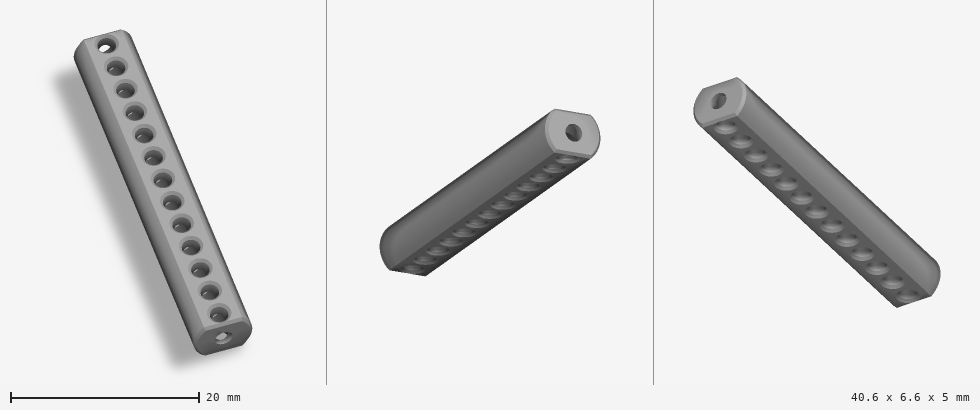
import cadquery as cq

bar_length = 40.6
rod_diameter = 6.6
flat_to_flat = 5.0
end_chamfer = 0.3

hole_diameter = 2.0
hole_count = 13
first_hole_margin = 1.55
hole_row_length = 37.5
hole_pitch = hole_row_length / (hole_count - 1)

countersink_diameter = 2.6
countersink_depth = (countersink_diameter - hole_diameter) / 2


def make_bar():
    """Round rod cut to two parallel flats, chamfered around both ends."""
    rod = cq.Workplane("YZ").circle(rod_diameter / 2).extrude(bar_length / 2, both=True)
    flats = cq.Workplane("XY").box(bar_length, rod_diameter, flat_to_flat)
    return rod.intersect(flats).faces("<X or >X").chamfer(end_chamfer)


def make_bore():
    """Straight hole along the whole axis of the bar."""
    return cq.Workplane("YZ").circle(hole_diameter / 2).extrude(bar_length / 2, both=True)


def make_cross_hole(x):
    """Hole through both flats at position x, widened by a cone at each end."""
    hole_radius = hole_diameter / 2
    mouth_radius = countersink_diameter / 2
    top = flat_to_flat / 2
    cone_start = top - countersink_depth
    half_profile = [
        (0, -top),
        (mouth_radius, -top),
        (hole_radius, -cone_start),
        (hole_radius, cone_start),
        (mouth_radius, top),
        (0, top),
    ]
    cutter = cq.Workplane("XZ").polyline(half_profile).close().revolve(360, (0, 0), (0, 1))
    return cutter.translate((x, 0, 0))


result = make_bar().cut(make_bore())

first_hole_x = -bar_length / 2 + first_hole_margin
for index in range(hole_count):
    result = result.cut(make_cross_hole(first_hole_x + index * hole_pitch))